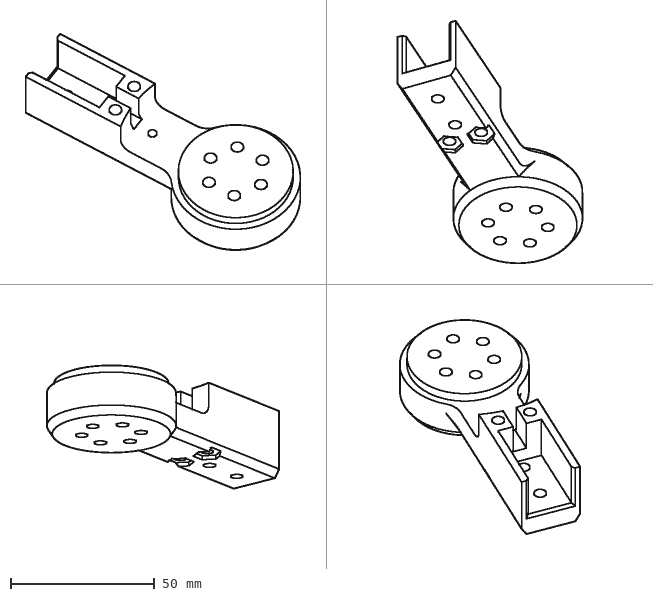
import cadquery as cq
import math

total_length = 102.5
total_height = 27.3

disc_diameter = 45.0
disc_radius = disc_diameter / 2
disc_chamfer_height = 3.0
disc_chamfer_inset = 1.9
cap_diameter = 40.0
cap_top = 18.5
disc_hole_circle_radius = 10.5
disc_hole_count = 6

arm_start = disc_radius - total_length
arm_width = 22.0
arm_bottom = disc_chamfer_height
arm_top = 15.1
neck_fillet_radius = 8.0
edge_chamfer_height = 3.0
edge_chamfer_inset = 1.8

step_radius = 42.0
step_fillet_radius = 4.0

pocket_end = -51.2
pocket_width = 16.3
pocket_floor = 11.0
mouth_chamfer = 1.0
slot_width = 5.0
slot_floor = 16.0

screw_diameter = 4.3
floor_screw_positions = [(-70.1, 0), (-54.9, 0)]
bolt_x = -46.0
bolt_spacing = 12.0
bolt_positions = [(bolt_x, -bolt_spacing / 2), (bolt_x, bolt_spacing / 2)]
nut_across_flats = 8.4
nut_depth = 1.4
pin_hole_x = -34.5
pin_hole_diameter = 3.1
pin_hole_depth = 4.1


def make_disc():
    """Round head, tapered at its lower edge, with a smaller raised cap."""
    profile = [
        (0, 0),
        (disc_radius - disc_chamfer_inset, 0),
        (disc_radius, disc_chamfer_height),
        (disc_radius, arm_top),
        (cap_diameter / 2, arm_top),
        (cap_diameter / 2, cap_top),
        (0, cap_top),
    ]
    return cq.Workplane("XZ").polyline(profile).close().revolve(360, (0, 0), (0, 1))


def make_arm_outline():
    """Full-height arm whose sides flare into the disc through tangent arcs."""
    half_width = arm_width / 2
    center_y = half_width + neck_fillet_radius
    center_distance = disc_radius + neck_fillet_radius
    center_x = -math.sqrt(center_distance**2 - center_y**2)
    touch_x = center_x * disc_radius / center_distance
    touch_y = center_y * disc_radius / center_distance
    mid_angle = (-math.pi / 2 + math.atan2(-center_y, -center_x)) / 2
    mid_x = center_x + neck_fillet_radius * math.cos(mid_angle)
    mid_y = center_y + neck_fillet_radius * math.sin(mid_angle)
    return (
        cq.Workplane("XY", origin=(0, 0, arm_bottom))
        .moveTo(arm_start, -half_width)
        .lineTo(center_x, -half_width)
        .threePointArc((mid_x, -mid_y), (touch_x, -touch_y))
        .lineTo(0, 0)
        .lineTo(touch_x, touch_y)
        .threePointArc((mid_x, mid_y), (center_x, half_width))
        .lineTo(arm_start, half_width)
        .close()
        .extrude(total_height - arm_bottom)
    )


def make_chamfer_envelope():
    """Prism along X whose sloping lower sides chamfer the arm and its flared neck."""
    bottom_half_width = arm_width / 2 - edge_chamfer_inset
    slope_height = (disc_radius - bottom_half_width) * edge_chamfer_height / edge_chamfer_inset
    section = [
        (-bottom_half_width, arm_bottom),
        (bottom_half_width, arm_bottom),
        (disc_radius, arm_bottom + slope_height),
        (disc_radius, total_height),
        (-disc_radius, total_height),
        (-disc_radius, arm_bottom + slope_height),
    ]
    return cq.Workplane("YZ", origin=(arm_start, 0, 0)).polyline(section).close().extrude(-arm_start)


def make_step_cutter():
    """Round cutter with a rounded lower rim that leaves the filleted step."""
    flat_radius = step_radius - step_fillet_radius
    arc_reach = step_fillet_radius * math.sin(math.pi / 4)
    return (
        cq.Workplane("XZ")
        .moveTo(0, arm_top)
        .lineTo(flat_radius, arm_top)
        .threePointArc(
            (flat_radius + arc_reach, arm_top + step_fillet_radius - arc_reach),
            (step_radius, arm_top + step_fillet_radius),
        )
        .lineTo(step_radius, total_height)
        .lineTo(0, total_height)
        .close()
        .revolve(360, (0, 0), (0, 1))
    )


def make_box(x_start, x_end, width, z_start):
    """Box centered on the arm, open to the top of the part."""
    return (
        cq.Workplane("XY", origin=(x_start, 0, z_start))
        .box(x_end - x_start, width, total_height - z_start, centered=(False, True, False))
    )


def make_mouth_chamfer():
    """Wedge-sided cutter that widens the open end of the pocket."""
    height = total_height - pocket_floor + mouth_chamfer
    return (
        cq.Workplane("YZ", origin=(arm_start, 0, pocket_floor - mouth_chamfer + height / 2))
        .rect(pocket_width + 2 * mouth_chamfer, height)
        .workplane(offset=mouth_chamfer)
        .center(0, mouth_chamfer)
        .rect(pocket_width, height)
        .loft(ruled=True)
    )


def make_holes(positions, diameter, z_start, depth):
    """Vertical round cutters rising from z_start."""
    return (
        cq.Workplane("XY", origin=(0, 0, z_start))
        .pushPoints(positions)
        .circle(diameter / 2)
        .extrude(depth)
    )


def make_nut_pockets():
    """Hexagonal recesses in the underside, with flats facing the arm sides."""
    across_corners = nut_across_flats / math.cos(math.pi / 6)
    return (
        cq.Workplane("XY", origin=(0, 0, arm_bottom))
        .pushPoints(bolt_positions)
        .polygon(6, across_corners)
        .extrude(nut_depth)
    )


disc_hole_positions = [
    (
        disc_hole_circle_radius * math.cos(2 * math.pi * i / disc_hole_count),
        disc_hole_circle_radius * math.sin(2 * math.pi * i / disc_hole_count),
    )
    for i in range(disc_hole_count)
]
screw_positions = floor_screw_positions + bolt_positions + disc_hole_positions

arm = make_arm_outline().intersect(make_chamfer_envelope())
arm = arm.cut(make_step_cutter())
arm = arm.cut(make_box(arm_start, pocket_end, pocket_width, pocket_floor))
arm = arm.cut(make_mouth_chamfer())
arm = arm.cut(make_box(pocket_end, -disc_radius, slot_width, slot_floor))
arm = arm.cut(make_nut_pockets())

result = arm.union(make_disc())
result = result.cut(make_holes(screw_positions, screw_diameter, 0, total_height))
result = result.cut(
    make_holes([(pin_hole_x, 0)], pin_hole_diameter, arm_top - pin_hole_depth, pin_hole_depth)
)